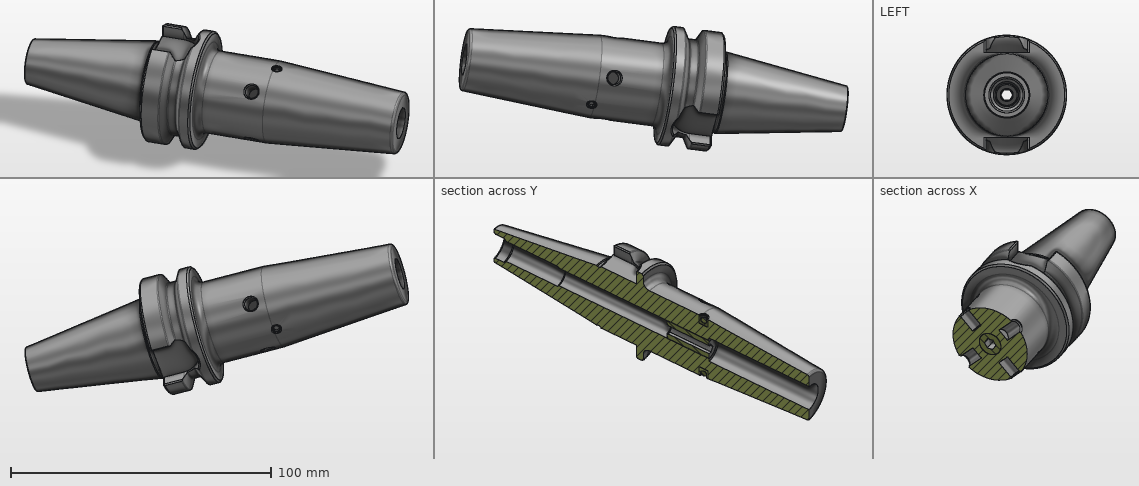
import cadquery as cq
import math


shank_length = 48.4
gauge_diameter = 31.75
taper_per_length = 7 / 24
small_end_radius = (gauge_diameter - taper_per_length * shank_length) / 2
neck_radius = 31.15 / 2
neck_start = 0.4
neck_fillet = 0.8
small_end_chamfer = 0.3

flange_start = 2.0
flange_end = 22.0
flange_radius = 46 / 2
flange_chamfer = 0.7
groove_center = 13.6
groove_floor_radius = 19.0
groove_floor_half_width = 1.7
groove_flank_angle = 30
groove_corner_radius = 0.5
groove_depth = flange_radius - groove_floor_radius
groove_flank_width = groove_depth * math.tan(math.radians(groove_flank_angle))
groove_mouth_half_width = groove_floor_half_width + groove_flank_width

slot_width = 16.1
slot_floor_height = 16.3
slot_end = 18.6
slot_chamfer = 0.6
slot_angles = (0, 180)
slot_end_center = slot_end - slot_width / 2

body_radius = 32 / 2
body_fillet = 3.0
nose_end = 100.0
nose_radius = 24 / 2
nose_angle = 4.5
nose_fillet = 1.0
nose_start = nose_end - (body_radius - nose_radius) / math.tan(math.radians(nose_angle))

center_chamfer_radius = 13.8 / 2
drawbar_counterbore_radius = 12.5 / 2
drawbar_counterbore_depth = 4.7
drawbar_thread_radius = 10.3 / 2
drawbar_thread_depth = 30.0
passage_radius = 9 / 2
tool_bore_radius = 12 / 2
tool_bore_depth = 47.0
tool_bore_start = nose_end - tool_bore_depth
center_chamfer_depth = center_chamfer_radius - drawbar_counterbore_radius
counterbore_cone_depth = drawbar_counterbore_radius - drawbar_thread_radius
drill_cone_depth = drawbar_thread_radius - passage_radius

screw_length = 20.0
screw_end_radius = 8 / 2
screw_chamfer = passage_radius - screw_end_radius
screw_hex_width = 4.0
screw_hex_corners = screw_hex_width / math.cos(math.radians(30))
screw_mouth_radius = 5 / 2
screw_mouth_depth = 0.5
screw_end = tool_bore_start
screw_start = screw_end - screw_length

balance_hole_x = 43.4
balance_hole_count = 4
balance_hole_radius = 5 / 2
balance_mouth_radius = 6 / 2
balance_hole_depth = 8.0

plug_x = 50.3
plug_angles = (0, 180)
plug_top = 15.7
cup_radius = 4 / 2
cup_height = 4.0
cup_mouth_radius = 3 / 2
ball_radius = 2.5 / 2
ball_depth = 1.6

clearance = 2.0

tolerance = 0.01


def turned(points):
    """Solid of revolution about X from (x, radius) points that start and end on the axis."""
    return cq.Workplane("XY").polyline(points).close().revolve(360, (0, 0, 0), (1, 0, 0))


def rod(start, end, radius):
    return turned([(start, 0), (start, radius), (end, radius), (end, 0)])


def upright(x, bottom, top, radius):
    """Cylinder parallel to Z."""
    return cq.Workplane("XY", origin=(x, 0, bottom)).circle(radius).extrude(top - bottom)


def around_axis(shape, angle):
    return shape.rotate((0, 0, 0), (1, 0, 0), angle)


def make_shank():
    """Taper and the relieved neck, which curves out to the flange."""
    fillet_start = flange_start - neck_fillet
    arc_offset = neck_fillet * math.sin(math.radians(45))
    arc_middle = (fillet_start + arc_offset, neck_radius + neck_fillet - arc_offset)
    return (
        cq.Workplane("XY")
        .moveTo(-shank_length, 0)
        .lineTo(-shank_length, small_end_radius)
        .lineTo(0, gauge_diameter / 2)
        .lineTo(neck_start, neck_radius)
        .lineTo(fillet_start, neck_radius)
        .threePointArc(arc_middle, (flange_start, neck_radius + neck_fillet))
        .lineTo(flange_start, 0)
        .close()
        .revolve(360, (0, 0, 0), (1, 0, 0))
        .faces("<X")
        .edges()
        .chamfer(small_end_chamfer)
    )


def drive_slot():
    """Slot cutter for the +Z side, open toward -X and with a round end."""
    return (
        cq.Workplane("XY", origin=(0, 0, slot_floor_height))
        .moveTo(0, -slot_width / 2)
        .lineTo(slot_end_center, -slot_width / 2)
        .threePointArc((slot_end, 0), (slot_end_center, slot_width / 2))
        .lineTo(0, slot_width / 2)
        .close()
        .extrude(flange_radius)
    )


def gripper_groove():
    half_floor = groove_floor_half_width
    half_mouth = groove_mouth_half_width
    return (
        cq.Workplane("XY")
        .polyline([
            (groove_center - half_mouth, flange_radius),
            (groove_center - half_floor, groove_floor_radius),
            (groove_center + half_floor, groove_floor_radius),
            (groove_center + half_mouth, flange_radius),
            (groove_center + half_mouth, flange_radius + clearance),
            (groove_center - half_mouth, flange_radius + clearance),
        ])
        .close()
        .revolve(360, (0, 0, 0), (1, 0, 0))
    )


def is_slot_mouth_edge(edge):
    """True for the edges where a slot's walls meet the rim or the front face of the flange."""
    middle = edge.Center()
    ends = (edge.startPoint(), edge.endPoint())
    in_slot = abs(middle.y) < slot_width / 2 + tolerance and abs(middle.z) > slot_floor_height + tolerance
    on_front = abs(middle.x - flange_start) < tolerance
    on_rim = all(abs(math.hypot(end.y, end.z) - flange_radius) < tolerance for end in ends)
    return in_slot and (on_front or on_rim)


def make_flange():
    slotted = rod(flange_start, flange_end, flange_radius)
    for angle in slot_angles:
        slotted = slotted.cut(around_axis(drive_slot(), angle))
    mouth_edges = [edge for edge in slotted.edges().vals() if is_slot_mouth_edge(edge)]
    slotted = slotted.newObject(mouth_edges).chamfer(slot_chamfer)

    grooved = rod(flange_start, flange_end, flange_radius).edges().chamfer(flange_chamfer)
    grooved = grooved.cut(gripper_groove())
    groove_reach = groove_mouth_half_width + tolerance
    groove_box = cq.selectors.BoxSelector(
        (groove_center - groove_reach, -flange_radius, -flange_radius),
        (groove_center + groove_reach, flange_radius, flange_radius),
    )
    grooved = grooved.edges(groove_box).edges("%CIRCLE").fillet(groove_corner_radius)
    return slotted.intersect(grooved)


def make_body():
    fillet_radius = body_radius + body_fillet
    fillet_end = flange_end + body_fillet
    arc_offset = body_fillet * math.sin(math.radians(45))
    arc_middle = (fillet_end - arc_offset, fillet_radius - arc_offset)
    return (
        cq.Workplane("XY")
        .moveTo(flange_end, 0)
        .lineTo(flange_end, fillet_radius)
        .threePointArc(arc_middle, (fillet_end, body_radius))
        .lineTo(nose_start, body_radius)
        .lineTo(nose_end, nose_radius)
        .lineTo(nose_end, 0)
        .close()
        .revolve(360, (0, 0, 0), (1, 0, 0))
        .faces(">X")
        .edges()
        .fillet(nose_fillet)
    )


def axial_bores():
    """Drawbar thread bore, passage and tool bore as one cutter."""
    counterbore_end = drawbar_counterbore_depth - shank_length
    thread_end = drawbar_thread_depth - shank_length
    return turned([
        (-shank_length, 0),
        (-shank_length, center_chamfer_radius),
        (-shank_length + center_chamfer_depth, drawbar_counterbore_radius),
        (counterbore_end, drawbar_counterbore_radius),
        (counterbore_end + counterbore_cone_depth, drawbar_thread_radius),
        (thread_end, drawbar_thread_radius),
        (thread_end + drill_cone_depth, passage_radius),
        (tool_bore_start, passage_radius),
        (tool_bore_start, tool_bore_radius),
        (nose_end, tool_bore_radius),
        (nose_end, 0),
    ])


def balance_hole():
    """Cutter for a countersunk blind hole along +Z."""
    countersink_depth = balance_mouth_radius - balance_hole_radius
    countersink_top = math.sqrt(body_radius**2 - balance_mouth_radius**2)
    countersink_bottom = countersink_top - countersink_depth
    hole_bottom = body_radius - balance_hole_depth
    cutter_top = body_radius + clearance
    countersink = cq.Solid.makeCone(
        balance_hole_radius,
        balance_mouth_radius,
        countersink_depth,
        cq.Vector(balance_hole_x, 0, countersink_bottom),
        cq.Vector(0, 0, 1),
    )
    return (
        upright(balance_hole_x, hole_bottom, cutter_top, balance_hole_radius)
        .union(cq.Workplane(countersink))
        .union(upright(balance_hole_x, countersink_top, cutter_top, balance_mouth_radius))
    )


def plug_hole():
    return upright(plug_x, plug_top - cup_height, body_radius + clearance, cup_radius)


def make_cup():
    """Expander cup with a round-bottomed bore that seats the ball."""
    ball_center = plug_top - ball_depth
    cup = upright(plug_x, plug_top - cup_height, plug_top, cup_radius)
    bore = upright(plug_x, ball_center, plug_top, ball_radius)
    mouth_chamfer = cup_mouth_radius - ball_radius
    bore_rim = cq.selectors.RadiusNthSelector(0)
    cup = cup.cut(bore).faces(">Z").edges(bore_rim).chamfer(mouth_chamfer)
    return cup.cut(make_ball())


def make_ball():
    return cq.Workplane("XZ", origin=(plug_x, 0, plug_top - ball_depth)).sphere(ball_radius)


def make_holder():
    holder = make_shank().union(make_flange()).union(make_body()).cut(axial_bores())
    for index in range(balance_hole_count):
        angle = (index + 0.5) * 360 / balance_hole_count
        holder = holder.cut(around_axis(balance_hole(), angle))
    for angle in plug_angles:
        holder = holder.cut(around_axis(plug_hole(), angle))
    return holder


def make_adjusting_screw():
    """Headless screw with a hexagon socket right through it."""
    socket = (
        cq.Workplane("YZ", origin=(screw_start, 0, 0))
        .polygon(6, screw_hex_corners)
        .extrude(screw_length)
    )
    mouth = rod(screw_start, screw_start + screw_mouth_depth, screw_mouth_radius)
    screw = rod(screw_start, screw_end, passage_radius).faces("<X").chamfer(screw_chamfer)
    return screw.cut(socket).cut(mouth)


holder = make_holder()
adjusting_screw = make_adjusting_screw()
cups = [around_axis(make_cup(), angle) for angle in plug_angles]
balls = [around_axis(make_ball(), angle) for angle in plug_angles]

result = cq.Compound.makeCompound(
    [holder.val(), adjusting_screw.val()]
    + [cup.val() for cup in cups]
    + [ball.val() for ball in balls]
)